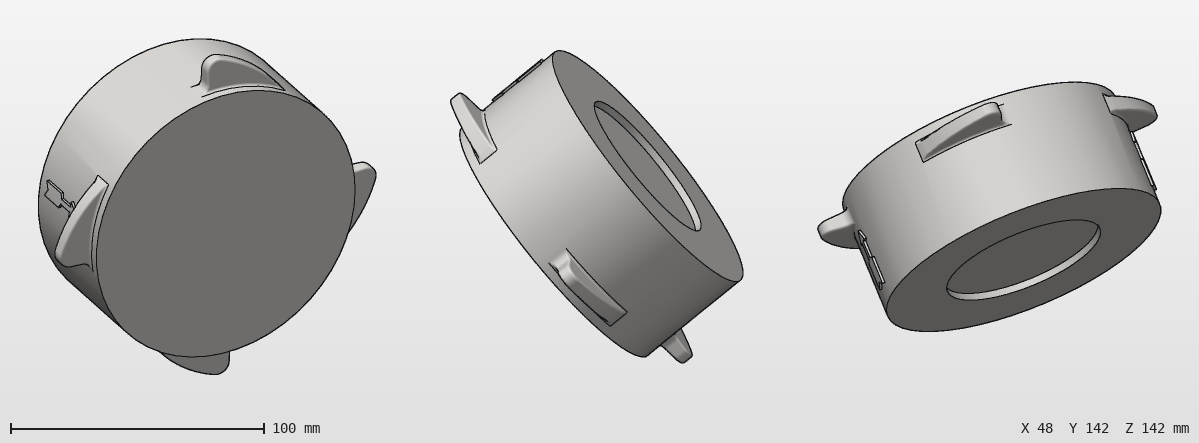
import cadquery as cq
import math

BODY_LENGTH = 48.0
BODY_RADIUS = 58.0
RECESS_DIAMETER = 65.0
RECESS_DEPTH = 3.0

FIN_COUNT = 4
FIN_X = 39.5
FIN_HEIGHT = 71.0
TIP_RADIUS = 5.0
BACK_RADIUS = 55.0
BACK_TIP_ANGLE = 18.8
HEEL_RADIUS = 4.0
ROOT_HALF_WIDTH = 3.6
FIN_DRAFT = 4.5
RIM_FILLET = 1.0
ROOT_FILLET = 1.0
FIN_EMBED = 3.0

ARROW_TAIL_X = 6.0
ARROW_NOTCH = 2.0
ARROW_SHOULDER_X = 17.7
ARROW_NECK_X = 18.7
ARROW_HEAD_X = 26.0
ARROW_TIP_X = 31.2
ARROW_Z = 11.0
ARROW_HALF_HEIGHT = 3.1
ARROW_SHAFT_HALF_HEIGHT = 1.1
ARROW_RAISE = 1.0


def make_body():
    return cq.Workplane("YZ").circle(BODY_RADIUS).extrude(BODY_LENGTH)


def make_recess():
    return cq.Workplane("YZ").circle(RECESS_DIAMETER / 2).extrude(RECESS_DEPTH)


def polar(center, radius, angle):
    return (center[0] + radius * math.cos(angle), center[1] + radius * math.sin(angle))


def fin_outline():
    """Side outline of the fin that points to +Z, with its upright edge on the -Y side."""
    tip_center = (0.0, FIN_HEIGHT - TIP_RADIUS)
    tip_end_angle = math.radians(90 - BACK_TIP_ANGLE)
    back_center = polar(tip_center, BACK_RADIUS - TIP_RADIUS, tip_end_angle + math.pi)
    back_top = polar(tip_center, TIP_RADIUS, tip_end_angle)

    inner_radius = BODY_RADIUS - FIN_EMBED
    center_distance = math.hypot(*back_center)
    cos_angle = (BACK_RADIUS**2 + center_distance**2 - inner_radius**2) / (2 * BACK_RADIUS * center_distance)
    toward_axis = math.atan2(-back_center[1], -back_center[0])
    back_end_angle = toward_axis + math.acos(cos_angle)
    back_foot = polar(back_center, BACK_RADIUS, back_end_angle)
    back_middle = polar(back_center, BACK_RADIUS, (tip_end_angle + back_end_angle) / 2)

    edge_y = -TIP_RADIUS
    heel_center_y = edge_y - HEEL_RADIUS
    heel_z = math.sqrt((BODY_RADIUS + HEEL_RADIUS) ** 2 - heel_center_y**2)
    heel_center = (heel_center_y, heel_z)
    heel_end_angle = math.atan2(-heel_z, -heel_center_y)
    heel_foot = polar(heel_center, HEEL_RADIUS, heel_end_angle)
    heel_middle = polar(heel_center, HEEL_RADIUS, heel_end_angle / 2)

    tip_middle = polar(tip_center, TIP_RADIUS, (tip_end_angle + math.pi) / 2)
    return (
        cq.Workplane("YZ")
        .moveTo(*back_foot)
        .threePointArc(back_middle, back_top)
        .threePointArc(tip_middle, (edge_y, tip_center[1]))
        .lineTo(edge_y, heel_z)
        .threePointArc(heel_middle, heel_foot)
        .lineTo(heel_foot[0], inner_radius)
        .close()
    )


def make_fin_slab():
    """Ring about the body axis whose tapered sides flare out into the body surface."""
    draft = math.radians(FIN_DRAFT)
    inner_radius = BODY_RADIUS - FIN_EMBED
    outer_radius = FIN_HEIGHT + TIP_RADIUS
    outer_half = ROOT_HALF_WIDTH - math.tan(draft) * (outer_radius - BODY_RADIUS)

    tangent_length = ROOT_FILLET * math.tan(math.pi / 4 - draft / 2)
    foot_half = ROOT_HALF_WIDTH + tangent_length
    fillet_center = (foot_half, BODY_RADIUS + ROOT_FILLET)
    fillet_top = polar(fillet_center, ROOT_FILLET, math.pi + draft)
    fillet_middle = polar(fillet_center, ROOT_FILLET, (math.pi + draft + 3 * math.pi / 2) / 2)

    half_slab = (
        cq.Workplane("XY")
        .moveTo(0, inner_radius)
        .lineTo(foot_half, inner_radius)
        .lineTo(foot_half, BODY_RADIUS)
        .threePointArc(fillet_middle, fillet_top)
        .lineTo(outer_half, outer_radius)
        .lineTo(0, outer_radius)
        .close()
        .revolve(360, (0, 0, 0), (1, 0, 0))
    )
    return half_slab.union(half_slab.mirror("YZ"))


def is_rim_edge(edge):
    """True for the long edges of a flat side that stand clear of the root fillet."""
    box = edge.BoundingBox()
    middle = edge.positionAt(0.5)
    clear_of_root = math.hypot(middle.y, middle.z) > BODY_RADIUS + ROOT_FILLET
    return clear_of_root and 0 < box.xlen < ROOT_HALF_WIDTH


def make_fin():
    plate = fin_outline().extrude(2 * ROOT_HALF_WIDTH, both=True)
    fin = plate.intersect(make_fin_slab())
    fin = fin.edges().filter(is_rim_edge).fillet(RIM_FILLET)
    return fin.translate((FIN_X, 0, 0))


def add_fins(body):
    fin = make_fin()
    for index in range(FIN_COUNT):
        body = body.union(fin.rotate((0, 0, 0), (1, 0, 0), index * 360 / FIN_COUNT))
    return body


def make_arrow_pair():
    """Arrow shapes cut from a thin sleeve around the body, on the -Y and +Y sides."""
    upper_half = [
        (ARROW_TAIL_X, ARROW_HALF_HEIGHT),
        (ARROW_SHOULDER_X, ARROW_HALF_HEIGHT),
        (ARROW_NECK_X, ARROW_SHAFT_HALF_HEIGHT),
        (ARROW_HEAD_X, ARROW_SHAFT_HALF_HEIGHT),
        (ARROW_HEAD_X, ARROW_HALF_HEIGHT),
    ]
    lower_half = [(x, -z) for x, z in reversed(upper_half)]
    outline = upper_half + [(ARROW_TIP_X, 0)] + lower_half + [(ARROW_TAIL_X + ARROW_NOTCH, 0)]
    arrow_bar = (
        cq.Workplane("XZ", origin=(0, 0, ARROW_Z))
        .polyline(outline)
        .close()
        .extrude(2 * BODY_RADIUS, both=True)
    )
    sleeve = (
        cq.Workplane("YZ")
        .circle(BODY_RADIUS + ARROW_RAISE)
        .circle(BODY_RADIUS - ARROW_RAISE)
        .extrude(BODY_LENGTH)
    )
    return sleeve.intersect(arrow_bar)


result = add_fins(make_body()).union(make_arrow_pair()).cut(make_recess())